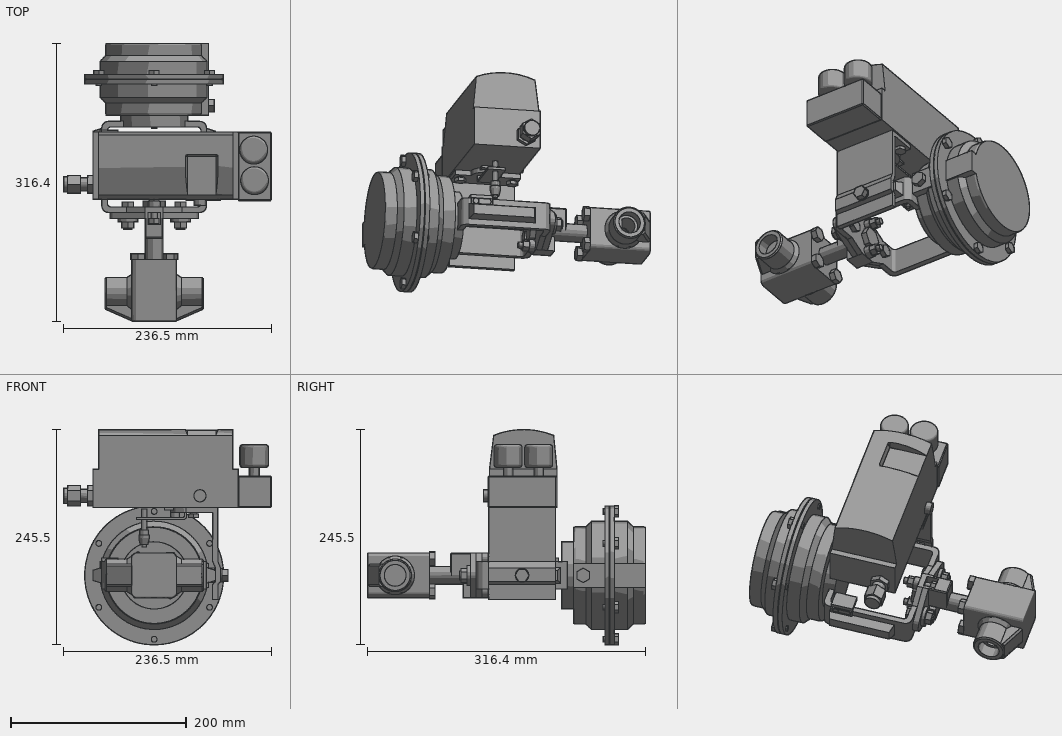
import cadquery as cq
import math


CASE_REAR, CASE_FRONT = 285.0, 203.1
CASE_MID = (CASE_REAR + CASE_FRONT) / 2
SMALL_R, LARGE_R = 55.4, 61.7
RIM_CHAMFER_R, RIM_CHAMFER_Y = 0.7, 2.2
SMALL_LENGTH, CONE_LENGTH = 13.9, 6.6
FLANGE_R, FLANGE_THICKNESS = 79.2, 5.1
GROOVE_WIDTH, GROOVE_DEPTH = 0.7, 2.0
CASE_BOLT_CIRCLE_R, CASE_BOLT_COUNT = 72.8, 6
CASE_BOLT_TIP_R = 3.3
CASE_BOLT_TIP = 1.8
CASE_BOLT_HEAD_R, CASE_BOLT_HEAD = 6.6, 4.8
PORT_BOSS_X, PORT_BOSS_HALF_Z = 61.9, 13.7
PORT_FITTING_Y, PORT_FITTING_R, PORT_FITTING_LENGTH = 214.0, 8.3, 6.6
HUB_R, HUB_FRONT = 38.3, 189.5
STEM_TIP_R, STEM_TIP_FRONT = 3.3, 188.3

YOKE_REAR, YOKE_FRONT = 196.3, 92.3
YOKE_HALF_X, YOKE_HALF_Z = 59.7, 15.7
YOKE_WALL, YOKE_BEND_R = 6.6, 7.9
FLANGE_TOP_HALF_X, FLANGE_TOP_Z = 10.3, 25.7
YOKE_EAR_HALF_X = 31.5
RIB_REAR, RIB_FRONT, RIB_HALF_Z = 188.3, 111.0, 9.0
RIB_HEIGHT, RIB_INSET = 10.1, 3.3
POINTER_REAR, POINTER_FRONT = 186.2, 160.9
POINTER_X, POINTER_TOP_X = -61.6, -41.0
POINTER_TOP, POINTER_BOTTOM = 19.9, 8.9
POINTER_HOLE_R, POINTER_RECESS = 3.3, 0.8
POINTER_HOLE_Y, POINTER_SLOT_TAIL_Y, POINTER_SLOT_TIP_Y = 180.6, 177.0, 162.7

CLAMP_THICKNESS = 6.8
CLAMP_FRONT = YOKE_FRONT - CLAMP_THICKNESS
CLAMP_LOBE_X, CLAMP_LOBE_R = 40.0, 10.5
BLOCK_UPPER_FRONT, BLOCK_LOWER_FRONT = 63.0, 77.3
BLOCK_LOWER_TOP, BLOCK_CHAMFER = -9.0, 1.3
BLOCK_SLOT_HALF_X, BLOCK_SLOT_FRONT, BLOCK_SLOT_BOTTOM = 7.0, 79.0, 11.0
YOKE_BOLT_X, YOKE_BOLT_HEAD_R, YOKE_BOLT_HEAD = 30.0, 7.5, 5.7
WASHER_R, WASHER_THICKNESS = 11.4, 3.9
NUT_R, NUT_LENGTH, YOKE_BOLT_TIP_R, YOKE_BOLT_TIP = 8.0, 6.9, 5.0, 1.6
CLAMP_BOLT_Z, CLAMP_BOLT_R, CLAMP_BOLT_REAR = 18.4, 3.6, 117.4
CLAMP_WASHER_R, CLAMP_WASHER_REAR = 7.1, 105.5
CLAMP_NUT_R, CLAMP_NUT_REAR = 6.5, 112.6
CLAMP_HEAD_R, CLAMP_HEAD_FRONT = 6.5, 79.7
GLAND_NUT_R, GLAND_NUT_REAR = 12.7, 105.7

STEM_R = 10.3
BODY_REAR, BODY_FRONT = 39.0, -31.42
BODY_HALF, BODY_CORNER_R, BODY_EDGE_R = 25.6, 6.0, 1.2
BONNET_BOLT_OFFSET = 18.4
BONNET_BOLT_R, BONNET_BOLT_HEAD = 8.5, 6.6
PIPE_HALF_X, PIPE_R, PIPE_CHAMFER = 56.0, 18.6, 1.5
PIPE_COLLAR_R, PIPE_COLLAR_X = 22.0, 31.0
BORE_R, BORE_DEPTH = 12.4, 14.0
SEAT_R, CHAMBER_FRONT, CHAMBER_REAR = 9.3, -9.5, 6.0
WEB_HALF_Z, WEB_CHAMFER = 12.8, 2.3
WEB_OUTER_X, WEB_OUTER_Y, WEB_ROOT_Y = 54.5, -18.3, -31.0

HOUSING_LEFT, HOUSING_RIGHT = -69.7, 95.8
HOUSING_FRONT, HOUSING_REAR = 107.3, 184.3
HOUSING_BOTTOM, HOUSING_TOP = 77.0, 121.0
COVER_LEFT, COVER_RIGHT = -63.2, 89.5
COVER_SHOULDER_FRONT, COVER_SHOULDER_REAR = 112.1, 180.6
COVER_SHOULDER_Z, COVER_TOP = 159.4, 166.06
WINDOW_LEFT, WINDOW_RIGHT, WINDOW_REAR, WINDOW_STEP_Y = 38.2, 70.2, 156.0, 141.0
WINDOW_STEP_DROP, WINDOW_DRAFT = 0.8, 22.0
BUTTON_X, BUTTON_Z, BUTTON_R, BUTTON_FRONT = 52.1, 90.6, 6.9, 100.4
FITTING_Y, FITTING_Z = 124.4, 90.6
FITTING_HEX_R, FITTING_NECK_R, FITTING_END_R = 11.7, 7.7, 8.8
FITTING_END, FITTING_NUT_LEFT, FITTING_NUT_RIGHT, FITTING_HEX_LEFT = -103.04, -98.6, -83.8, -75.7
GAUGE_LEFT, GAUGE_RIGHT, GAUGE_FRONT, GAUGE_REAR, GAUGE_TOP = 95.4, 133.5, 105.7, 184.0, 113.3
GAUGE_EDGE = 1.3
KNOB_CENTRES = [(113.3, 163.4), (114.3, 128.6)]
KNOB_R, KNOB_NECK_R, KNOB_BOTTOM, KNOB_TOP, KNOB_EDGE_R = 15.9, 5.5, 122.7, 148.9, 3.4

BRACKET_LEFT, BRACKET_INNER, BRACKET_OUTER = 36.0, 66.6, 72.4
BRACKET_FRONT, BRACKET_REAR = 106.3, 182.6
BRACKET_BOTTOM, BRACKET_LEG_BOTTOM = -27.6, 71.4
BRACKET_MID_Y = (BRACKET_FRONT + BRACKET_REAR) / 2
JOG_SHIFT = 3.2
JOG_TOP, JOG_BOTTOM, JOG_BASE_TOP, JOG_BASE_BOTTOM = 8.5, -7.0, 16.0, -10.5
BRACKET_WASHER_R, BRACKET_WASHER_X, BRACKET_BOLT_R, BRACKET_BOLT_X = 7.7, 77.2, 7.9, 84.1
LEG_BOLT_X, LEG_BOLT_INSET = 45.0, 7.8
LEG_BOLT_R, LEG_BOLT_BOTTOM, LEG_BOLT_WASHER_R, LEG_BOLT_WASHER = 6.6, 65.8, 4.0, 1.5
PIVOT_R, PIVOT_SHAFT_X, PIVOT_SHAFT_R = 17.5, 23.8, 5.3
LEVER_FRONT, LEVER_REAR = 136.6, 157.0
LEVER_LEFT, LEVER_TOP_LEFT, LEVER_RIGHT = -20.2, 12.0, 37.0
LEVER_BOTTOM, LEVER_SHEET, LEVER_BEND_R = 63.5, 2.6, 4.0
PIN_X = -11.5
PIN_PROFILE = [(0, 75.5), (3.1, 75.5), (3.1, 51.6), (5.1, 51.6), (5.1, 45.7), (6.0, 45.7),
               (6.0, 42.0), (4.4, 35.0), (2.6, 35.0), (2.6, 32.3), (0, 32.3)]


def box(x, y, z):
    """Box from three (low, high) ranges."""
    size = [high - low for low, high in (x, y, z)]
    return cq.Workplane().box(*size, centered=False).translate((x[0], y[0], z[0]))


def rod(axis, start, end, radius, centre):
    """Cylinder along one axis; centre gives the other two coordinates in XYZ order."""
    return prism(axis, start, end, cq.Sketch().circle(radius), centre)


def hexagon(axis, start, end, radius, centre, turn=0):
    """Hexagonal prism along one axis; unturned, a corner points up, or to +Y if the axis is Z."""
    return prism(axis, start, end, cq.Sketch().regularPolygon(radius, 6, turn), centre)


def prism(axis, start, end, sketch, centre):
    """Sketch extruded along one axis, from start to end."""
    a, b = centre
    planes = {
        "X": cq.Plane((start, a, b), (0, 1, 0), (1, 0, 0)),
        "Y": cq.Plane((a, start, b), (1, 0, 0), (0, -1, 0)),
        "Z": cq.Plane((a, b, start), (1, 0, 0), (0, 0, 1)),
    }
    along = start - end if axis == "Y" else end - start
    return cq.Workplane(planes[axis]).placeSketch(sketch).extrude(along)


def cone(start, end, start_radius, end_radius):
    """Truncated cone on the X axis."""
    profile = [(start, 0), (start, start_radius), (end, end_radius), (end, 0)]
    return cq.Workplane().polyline(profile).close().revolve(360, (0, 0, 0), (1, 0, 0))


def merge(parts):
    whole = parts[0]
    for part in parts[1:]:
        whole = whole.union(part)
    return whole


def half_case(rim, direction):
    """One casing half, turned about the Y axis, from its rim to the mid plane."""
    cone_small = rim + direction * SMALL_LENGTH
    cone_large = cone_small + direction * CONE_LENGTH
    flange = CASE_MID - direction * (GROOVE_WIDTH / 2 + FLANGE_THICKNESS)
    groove = CASE_MID - direction * GROOVE_WIDTH / 2
    profile = [
        (0, rim), (SMALL_R - RIM_CHAMFER_R, rim), (SMALL_R, rim + direction * RIM_CHAMFER_Y),
        (SMALL_R, cone_small), (LARGE_R, cone_large), (LARGE_R, flange), (FLANGE_R, flange),
        (FLANGE_R, groove), (FLANGE_R - GROOVE_DEPTH, groove),
        (FLANGE_R - GROOVE_DEPTH, CASE_MID), (0, CASE_MID),
    ]
    return cq.Workplane().polyline(profile).close().revolve(360, (0, 0, 0), (0, 1, 0))


def actuator():
    flange_half = GROOVE_WIDTH / 2 + FLANGE_THICKNESS
    parts = [
        half_case(CASE_REAR, -1),
        half_case(CASE_FRONT, 1),
        box((0, PORT_BOSS_X), (CASE_FRONT, CASE_REAR), (-PORT_BOSS_HALF_Z, PORT_BOSS_HALF_Z)),
        hexagon("X", PORT_BOSS_X, PORT_BOSS_X + PORT_FITTING_LENGTH, PORT_FITTING_R, (PORT_FITTING_Y, 0)),
        rod("Y", CASE_FRONT, HUB_FRONT, HUB_R, (0, 0)),
        rod("Y", HUB_FRONT, STEM_TIP_FRONT, STEM_TIP_R, (0, 0)),
    ]
    for i in range(CASE_BOLT_COUNT):
        angle = math.radians(90 + i * 360 / CASE_BOLT_COUNT)
        spot = (CASE_BOLT_CIRCLE_R * math.cos(angle), CASE_BOLT_CIRCLE_R * math.sin(angle))
        rear, front = CASE_MID + flange_half, CASE_MID - flange_half
        parts.append(hexagon("Y", rear, rear + CASE_BOLT_HEAD, CASE_BOLT_HEAD_R, spot))
        parts.append(rod("Y", front, front - CASE_BOLT_TIP, CASE_BOLT_TIP_R, spot))
    return merge(parts)


def yoke_rib():
    """Raised bar with sloping sides on the left leg of the yoke."""
    length, width = RIB_REAR - RIB_FRONT, 2 * RIB_HALF_Z
    plane = cq.Plane((-YOKE_HALF_X, (RIB_REAR + RIB_FRONT) / 2, 0), (0, -1, 0), (-1, 0, 0))
    return (
        cq.Workplane(plane).rect(length, width).workplane(offset=RIB_HEIGHT)
        .rect(length - 2 * RIB_INSET, width - 2 * RIB_INSET).loft(ruled=True)
    )


def pointer():
    """Angle on the left leg with a screw hole and an arrow-ended slot."""
    outer = box((POINTER_X, -YOKE_HALF_X), (POINTER_FRONT, POINTER_REAR), (POINTER_BOTTOM, YOKE_HALF_Z))
    top = box((-YOKE_HALF_X, POINTER_TOP_X), (POINTER_FRONT, POINTER_REAR), (YOKE_HALF_Z, POINTER_TOP))
    mid_z = (POINTER_BOTTOM + YOKE_HALF_Z) / 2
    floor = POINTER_X + POINTER_RECESS
    hole = rod("X", POINTER_X, floor, POINTER_HOLE_R, (POINTER_HOLE_Y, mid_z))
    shoulder = POINTER_SLOT_TIP_Y + POINTER_HOLE_R / 2
    low, high = mid_z - POINTER_HOLE_R, mid_z + POINTER_HOLE_R
    outline = [(POINTER_SLOT_TAIL_Y, low), (shoulder, low), (POINTER_SLOT_TIP_Y, mid_z),
               (shoulder, high), (POINTER_SLOT_TAIL_Y, high)]
    slot = cq.Workplane("YZ", (POINTER_X, 0, 0)).polyline(outline).close().extrude(POINTER_RECESS)
    return merge([outer.cut(hole).cut(slot), top])


def yoke():
    inner_x = YOKE_HALF_X - YOKE_WALL
    tall = (-YOKE_HALF_Z, YOKE_HALF_Z)
    frame = box((-YOKE_HALF_X, YOKE_HALF_X), (YOKE_FRONT, YOKE_REAR), tall).edges("|Z").fillet(YOKE_BEND_R)
    opening = box((-inner_x, inner_x), (YOKE_FRONT + YOKE_WALL, YOKE_REAR - YOKE_WALL), tall)
    frame = frame.cut(opening.edges("|Z").fillet(YOKE_BEND_R / 2))
    ear = [(FLANGE_TOP_HALF_X, FLANGE_TOP_Z), (YOKE_EAR_HALF_X, YOKE_HALF_Z),
           (YOKE_EAR_HALF_X, -YOKE_HALF_Z), (FLANGE_TOP_HALF_X, -FLANGE_TOP_Z)]
    ear += [(-x, z) for x, z in reversed(ear)]
    ears = cq.Workplane("XZ", (0, YOKE_FRONT, 0)).polyline(ear).close().extrude(-YOKE_WALL)
    rib = yoke_rib()
    return merge([frame, ears, rib, rib.mirror("YZ"), pointer()])


def clamp_plate():
    """Diamond plate: round lobes joined by tangent lines to flat top and bottom edges."""
    dx, dz = CLAMP_LOBE_X - FLANGE_TOP_HALF_X, -FLANGE_TOP_Z
    distance = math.hypot(dx, dz)
    tangent_angle = math.atan2(-dz, -dx) - math.acos(CLAMP_LOBE_R / distance)
    tx = CLAMP_LOBE_X + CLAMP_LOBE_R * math.cos(tangent_angle)
    tz = CLAMP_LOBE_R * math.sin(tangent_angle)
    end = CLAMP_LOBE_X + CLAMP_LOBE_R
    return (
        cq.Workplane("XZ", (0, YOKE_FRONT, 0))
        .moveTo(-FLANGE_TOP_HALF_X, FLANGE_TOP_Z).lineTo(FLANGE_TOP_HALF_X, FLANGE_TOP_Z)
        .lineTo(tx, tz).threePointArc((end, 0), (tx, -tz))
        .lineTo(FLANGE_TOP_HALF_X, -FLANGE_TOP_Z).lineTo(-FLANGE_TOP_HALF_X, -FLANGE_TOP_Z)
        .lineTo(-tx, -tz).threePointArc((-end, 0), (-tx, tz)).close()
        .extrude(CLAMP_THICKNESS)
    )


def clamp():
    wide = (-FLANGE_TOP_HALF_X, FLANGE_TOP_HALF_X)
    upper = box(wide, (BLOCK_UPPER_FRONT, CLAMP_FRONT), (0, FLANGE_TOP_Z))
    upper = upper.faces("<Y").edges().chamfer(BLOCK_CHAMFER).edges(">Z and |Y").chamfer(BLOCK_CHAMFER)
    lower = box(wide, (BLOCK_LOWER_FRONT, CLAMP_FRONT), (-FLANGE_TOP_Z, BLOCK_LOWER_TOP))
    body = merge([clamp_plate(), upper, lower])
    slot_wide = (-BLOCK_SLOT_HALF_X, BLOCK_SLOT_HALF_X)
    slot = box(slot_wide, (BLOCK_SLOT_FRONT, YOKE_FRONT), (BLOCK_SLOT_BOTTOM, FLANGE_TOP_Z))
    return body.cut(slot)


def clamp_fasteners():
    back = YOKE_FRONT + YOKE_WALL
    parts = [hexagon("Y", back, GLAND_NUT_REAR, GLAND_NUT_R, (0, 0), 90)]
    for side in (-1, 1):
        spot = (side * YOKE_BOLT_X, 0)
        nut_start = CLAMP_FRONT - WASHER_THICKNESS
        nut_end = nut_start - NUT_LENGTH
        parts.append(hexagon("Y", back, back + YOKE_BOLT_HEAD, YOKE_BOLT_HEAD_R, spot))
        parts.append(rod("Y", CLAMP_FRONT, nut_start, WASHER_R, spot))
        parts.append(hexagon("Y", nut_start, nut_end, NUT_R, spot))
        parts.append(rod("Y", nut_end, nut_end - YOKE_BOLT_TIP, YOKE_BOLT_TIP_R, spot))

        spot = (0, side * CLAMP_BOLT_Z)
        parts.append(rod("Y", back, CLAMP_WASHER_REAR, CLAMP_WASHER_R, spot))
        parts.append(hexagon("Y", CLAMP_WASHER_REAR, CLAMP_NUT_REAR, CLAMP_NUT_R, spot))
        parts.append(rod("Y", CLAMP_FRONT, CLAMP_BOLT_REAR, CLAMP_BOLT_R, spot))
        parts.append(hexagon("Y", CLAMP_FRONT, CLAMP_HEAD_FRONT, CLAMP_HEAD_R, spot))
    return merge(parts)


def pipe_end():
    """Right-hand pipe end with its collar at the body and its sloping web."""
    pipe = rod("X", 0, PIPE_HALF_X, PIPE_R, (0, 0)).faces(">X").chamfer(PIPE_CHAMFER)
    collar = cone(BODY_HALF, PIPE_COLLAR_X, PIPE_COLLAR_R, PIPE_R)
    outline = [(0, 0), (WEB_OUTER_X, 0), (WEB_OUTER_X, WEB_OUTER_Y), (BODY_HALF, WEB_ROOT_Y), (0, WEB_ROOT_Y)]
    web = cq.Workplane().polyline(outline).close().extrude(WEB_HALF_Z, both=True)
    slope_edges = cq.selectors.BoxSelector(
        (BODY_HALF, WEB_ROOT_Y, -2 * WEB_HALF_Z), (WEB_OUTER_X, WEB_OUTER_Y, 2 * WEB_HALF_Z))
    web = web.edges(slope_edges).edges("not |Z").chamfer(WEB_CHAMFER)
    return merge([pipe, collar, web])


def valve_chamber():
    """Round chamber along Y, reached by the passage from the left pipe end."""
    chamber = rod("Y", CHAMBER_FRONT, CHAMBER_REAR, SEAT_R, (0, 0))
    passage = rod("X", -PIPE_HALF_X, 0, SEAT_R, (0, 0))
    past_plug = box((-PIPE_HALF_X, 0), (CHAMBER_FRONT, CHAMBER_REAR), (-SEAT_R, SEAT_R))
    return chamber.union(passage.intersect(past_plug))


def valve():
    half = (-BODY_HALF, BODY_HALF)
    body = box(half, (BODY_FRONT, BODY_REAR), half).edges("|Y").fillet(BODY_CORNER_R)
    body = body.faces("<Y").edges().fillet(BODY_EDGE_R)
    end = pipe_end()
    body = merge([body, end, end.mirror("YZ"), rod("Y", CLAMP_FRONT, 0, STEM_R, (0, 0))])
    for sx in (-1, 1):
        bore = rod("X", sx * PIPE_HALF_X, sx * (PIPE_HALF_X - BORE_DEPTH), BORE_R, (0, 0))
        body = body.cut(bore)
        for sz in (-1, 1):
            spot = (sx * BONNET_BOLT_OFFSET, sz * BONNET_BOLT_OFFSET)
            turn = 90 if sx == sz else 0
            head_rear = BODY_REAR + BONNET_BOLT_HEAD
            body = body.union(hexagon("Y", BODY_REAR, head_rear, BONNET_BOLT_R, spot, turn))
    return body.cut(valve_chamber())


def cover():
    """Domed cover with sloping sides and a drafted window pocket open to the front."""
    mid_y = (COVER_SHOULDER_FRONT + COVER_SHOULDER_REAR) / 2
    dome = (
        cq.Workplane("YZ", (COVER_LEFT, 0, 0))
        .moveTo(HOUSING_FRONT, HOUSING_TOP).lineTo(COVER_SHOULDER_FRONT, COVER_SHOULDER_Z)
        .threePointArc((mid_y, COVER_TOP), (COVER_SHOULDER_REAR, COVER_SHOULDER_Z))
        .lineTo(HOUSING_REAR, HOUSING_TOP).close().extrude(COVER_RIGHT - COVER_LEFT)
    )
    length = WINDOW_REAR - HOUSING_FRONT
    window = (
        cq.Workplane("XY", ((WINDOW_LEFT + WINDOW_RIGHT) / 2, HOUSING_FRONT + length / 2, COVER_SHOULDER_Z))
        .rect(WINDOW_RIGHT - WINDOW_LEFT, length)
        .extrude(COVER_TOP - COVER_SHOULDER_Z, taper=-WINDOW_DRAFT)
    )
    floor = [(WINDOW_STEP_Y, COVER_SHOULDER_Z), (WINDOW_REAR, COVER_SHOULDER_Z),
             (WINDOW_REAR, COVER_SHOULDER_Z - WINDOW_STEP_DROP)]
    dip = cq.Workplane("YZ", (WINDOW_LEFT, 0, 0)).polyline(floor).close().extrude(WINDOW_RIGHT - WINDOW_LEFT)
    return dome.cut(window).cut(dip)


def air_fitting():
    """Tube fitting on the left wall of the housing."""
    spot = (FITTING_Y, FITTING_Z)
    return merge([
        rod("X", FITTING_END, FITTING_NUT_LEFT, FITTING_END_R, spot),
        hexagon("X", FITTING_NUT_LEFT, FITTING_NUT_RIGHT, FITTING_HEX_R, spot),
        rod("X", FITTING_NUT_RIGHT, FITTING_HEX_LEFT, FITTING_NECK_R, spot),
        hexagon("X", FITTING_HEX_LEFT, HOUSING_LEFT, FITTING_HEX_R, spot),
    ])


def gauge_block():
    block = box((GAUGE_LEFT, GAUGE_RIGHT), (GAUGE_FRONT, GAUGE_REAR), (HOUSING_BOTTOM, GAUGE_TOP))
    parts = [block.edges().chamfer(GAUGE_EDGE)]
    for spot in KNOB_CENTRES:
        parts.append(rod("Z", GAUGE_TOP, KNOB_BOTTOM, KNOB_NECK_R, spot))
        knob = rod("Z", KNOB_BOTTOM, KNOB_TOP, KNOB_R, spot)
        parts.append(knob.faces("<Z or >Z").edges().fillet(KNOB_EDGE_R))
    return merge(parts)


def positioner():
    housing = box((HOUSING_LEFT, HOUSING_RIGHT), (HOUSING_FRONT, HOUSING_REAR), (HOUSING_BOTTOM, HOUSING_TOP))
    button = rod("Y", HOUSING_FRONT, BUTTON_FRONT, BUTTON_R, (BUTTON_X, BUTTON_Z))
    return merge([housing, cover(), button, air_fitting(), gauge_block()])


def bracket():
    """Angle that carries the positioner on the right leg of the yoke; its sheet jogs out over the rib."""
    deep = (BRACKET_FRONT, BRACKET_REAR)
    spot = (BRACKET_MID_Y, 0)
    heights = [BRACKET_BOTTOM, JOG_BASE_BOTTOM, JOG_BOTTOM, JOG_TOP, JOG_BASE_TOP, HOUSING_BOTTOM]
    shifts = [0, 0, JOG_SHIFT, JOG_SHIFT, 0, 0]
    inner = [(BRACKET_INNER + shift, z) for shift, z in zip(shifts, heights)]
    outer = [(BRACKET_OUTER + shift, z) for shift, z in zip(shifts, heights)]
    sheet = cq.Workplane("XZ", (0, BRACKET_FRONT, 0)).polyline(inner + outer[::-1]).close()
    washer_start = BRACKET_OUTER + JOG_SHIFT
    parts = [
        sheet.extrude(BRACKET_FRONT - BRACKET_REAR),
        box((BRACKET_LEFT, BRACKET_OUTER), deep, (BRACKET_LEG_BOTTOM, HOUSING_BOTTOM)),
        rod("X", washer_start, BRACKET_WASHER_X, BRACKET_WASHER_R, spot),
        hexagon("X", BRACKET_WASHER_X, BRACKET_BOLT_X, BRACKET_BOLT_R, spot, 90),
    ]
    for y in (BRACKET_FRONT + LEG_BOLT_INSET, BRACKET_REAR - LEG_BOLT_INSET):
        head_top = BRACKET_LEG_BOTTOM - LEG_BOLT_WASHER
        parts.append(rod("Z", BRACKET_LEG_BOTTOM, head_top, LEG_BOLT_WASHER_R, (LEG_BOLT_X, y)))
        parts.append(hexagon("Z", head_top, LEG_BOLT_BOTTOM, LEG_BOLT_R, (LEG_BOLT_X, y)))
    return merge(parts)


def lever():
    """Bent sheet clip on the positioner shaft, with its hanging pin."""
    mid_y = (LEVER_FRONT + LEVER_REAR) / 2
    deep = (LEVER_FRONT, LEVER_REAR)
    outer = box((LEVER_LEFT, LEVER_RIGHT), deep, (LEVER_BOTTOM, HOUSING_BOTTOM))
    outer = outer.edges(">X and |Y").fillet(LEVER_BEND_R)
    inner_x = (LEVER_LEFT, LEVER_RIGHT - LEVER_SHEET)
    gap = box(inner_x, deep, (LEVER_BOTTOM + LEVER_SHEET, HOUSING_BOTTOM - LEVER_SHEET))
    gap = gap.edges(">X and |Y").fillet(LEVER_BEND_R - LEVER_SHEET)
    short = box((LEVER_LEFT, LEVER_TOP_LEFT), deep, (LEVER_BOTTOM + LEVER_SHEET, HOUSING_BOTTOM))
    pin = cq.Workplane("XZ").polyline(PIN_PROFILE).close().revolve(360, (0, 0, 0), (0, 1, 0))
    return merge([
        outer.cut(gap).cut(short),
        rod("Z", LEVER_BOTTOM, HOUSING_BOTTOM, PIVOT_SHAFT_R, (PIVOT_SHAFT_X, mid_y)),
        rod("Z", BRACKET_LEG_BOTTOM, HOUSING_BOTTOM, PIVOT_R, (BRACKET_LEFT, mid_y)),
        pin.translate((PIN_X, mid_y, 0)),
    ])


result = merge([
    actuator(), yoke(), clamp(), clamp_fasteners(), valve(), positioner(), bracket(), lever(),
])